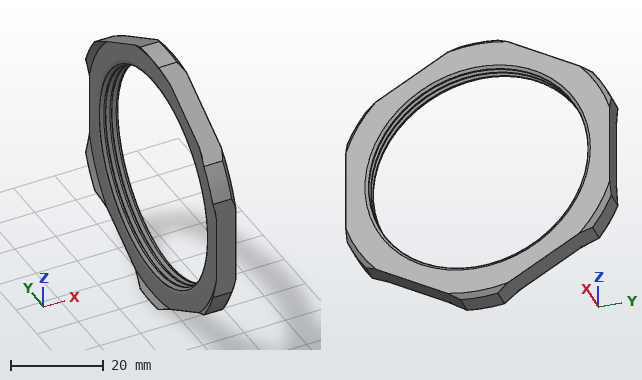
import cadquery as cq
import math

thickness = 5.6
across_flats = 60.0
corner_radius = 32.5
hexagon_flats = 6

corner_projection = 0.9
face_radius = 31.0

rear_chamfer = 1.05

crest_radius = 24.95
crest_width = 0.4
ridge_pitch = 1.5
ridge_count = 3
first_crest_offset = 1.1
flank_angle = 30
mouth_radius = 26.25
chamfer_end_radius = 25.45

front_x = -thickness / 2
rear_x = thickness / 2
face_x = front_x + corner_projection


def revolve_about_x(points):
    """Turn a closed (x, radius) outline about the X axis."""
    return cq.Workplane("XY").polyline(points).close().revolve(360, (0, 0, 0), (1, 0, 0))


def turned_blank():
    """Ring with its dished front corners, rear chamfer and ridged bore."""
    outline = [
        (face_x, face_radius),
        (front_x, corner_radius),
        (rear_x - rear_chamfer, corner_radius),
        (rear_x, corner_radius - rear_chamfer),
    ]
    return revolve_about_x(outline + bore_outline())


def bore_outline():
    """Bore points from the rear face, which cuts off the last flank, to the front mouth."""
    flank_slope = math.tan(math.radians(flank_angle))
    root_radius = crest_radius + (ridge_pitch - crest_width) / 2 / flank_slope
    first_crest_x = face_x + first_crest_offset
    last_crest_end_x = first_crest_x + (ridge_count - 1) * ridge_pitch + crest_width / 2
    rear_edge_radius = crest_radius + (rear_x - last_crest_end_x) / flank_slope

    points = [(rear_x, rear_edge_radius)]
    for index in reversed(range(ridge_count)):
        crest_x = first_crest_x + index * ridge_pitch
        points.append((crest_x + crest_width / 2, crest_radius))
        points.append((crest_x - crest_width / 2, crest_radius))
        points.append((crest_x - ridge_pitch / 2, root_radius))

    first_root_x = first_crest_x - ridge_pitch / 2
    chamfer_end_x = first_root_x - (root_radius - chamfer_end_radius) * flank_slope
    points.append((chamfer_end_x, chamfer_end_radius))
    points.append((face_x, mouth_radius))
    return points


def hexagon_bar():
    """Hexagonal bar with corners on the Z axis and flats facing +Y and -Y."""
    across_corners = across_flats / math.cos(math.pi / hexagon_flats)
    side_plane = cq.Plane(origin=(front_x, 0, 0), xDir=(0, 0, 1), normal=(1, 0, 0))
    return cq.Workplane(side_plane).polygon(hexagon_flats, across_corners).extrude(thickness)


result = turned_blank().intersect(hexagon_bar())